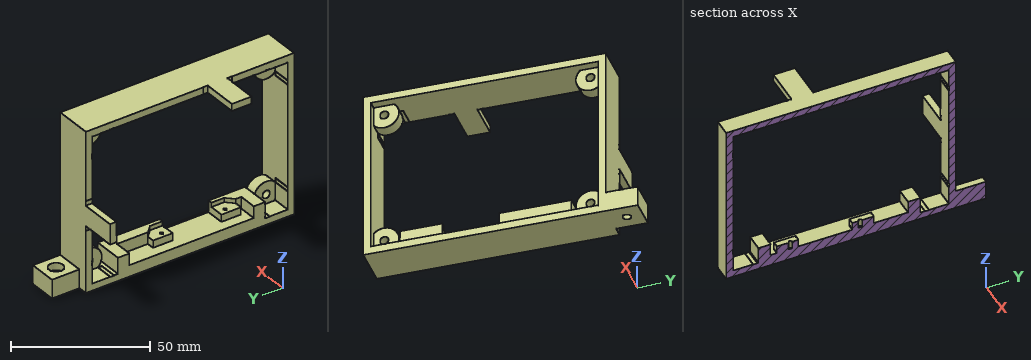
import cadquery as cq
import math

frame_depth = 16.1
frame_width = 91.8
frame_height = 68.8
side_wall = 2.9
base_wall = 3.1
left_face = frame_width / 2
left_wall_face = left_face - side_wall

arm_length = 15.0
arm_width = 8.7
top_arm_y = -12.1
side_arm_z = 32.9
relief_span = 12.7
relief_depth = 0.1

boss_radius = 5.5
boss_front = 7.7
boss_back = 12.7
boss_hole = 3.2
boss_inset_y = 7.0
boss_inset_z = 7.1
groove_depth = 0.1
groove_start_y = boss_inset_y + math.sqrt(boss_radius**2 - (boss_inset_z - base_wall) ** 2)
groove_start_z = boss_inset_z + math.sqrt(boss_radius**2 - (boss_inset_y - side_wall) ** 2)
groove_end_y = boss_inset_y + boss_radius
groove_end_z = boss_inset_z + boss_radius

ledge_depth = boss_back
ledge_start = 11.2
ledge_end = 76.0
ledge_height = 6.9
ledge_top = base_wall + ledge_height
tray_start = 16.3
tray_end = 71.0
tray_depth = 7.8
tray_floor_height = 1.9
tray_floor = base_wall + tray_floor_height
gap_start = 38.5
gap_end = 60.0

pad_width = 8.6
pad_front = 4.6
pad_back = 10.8
pad_height = 3.1
pad_top = tray_floor + pad_height
pad_chamfer = pad_back - tray_depth
pad_hole = 1.2
pad_hole_x = 6.9
pad_hole_inset = 3.2

lug_size = 12.0
lug_height = 8.1
lug_hole = 3.1
lug_counterbore = 6.0
lug_counterbore_depth = 3.1


def box(x0, x1, y0, y1, z0, z1):
    """Block between two opposite corners."""
    return cq.Workplane("XY").box(x1 - x0, y1 - y0, z1 - z0, centered=False).translate((x0, y0, z0))


def tray_block(x0, x1, start, end, z0, z1):
    """Block placed by its distances from the left inner wall."""
    return box(x0, x1, left_wall_face - end, left_wall_face - start, z0, z1)


def rod(radius, x0, x1, y, z):
    """Cylinder along X."""
    return cq.Workplane("YZ").center(y, z).circle(radius).extrude(x1 - x0).translate((x0, 0, 0))


def make_frame():
    inner_top = frame_height - base_wall
    outer = box(0, frame_depth, -left_face, left_face, 0, frame_height)
    return outer.cut(box(0, frame_depth, -left_wall_face, left_wall_face, base_wall, inner_top))


def add_arms(body):
    def top_bar(x0, x1, width):
        y0 = top_arm_y - width / 2
        return box(x0, x1, y0, y0 + width, frame_height - base_wall, frame_height)

    def side_bar(x0, x1, width):
        z0 = side_arm_z - width / 2
        return box(x0, x1, left_wall_face, left_face, z0, z0 + width)

    for bar in (top_bar, side_bar):
        body = body.cut(bar(0, relief_depth, relief_span))
        body = body.union(bar(-arm_length, relief_depth, arm_width))
    return body


def add_bosses(body):
    interior = box(boss_front, boss_back, -left_face, left_face, 0, frame_height)
    for y_side in (-1, 1):
        for z in (boss_inset_z, frame_height - boss_inset_z):
            y = y_side * (left_face - boss_inset_y)
            body = body.union(rod(boss_radius, boss_front, boss_back, y, z).intersect(interior))
            body = body.cut(rod(boss_hole / 2, 0, frame_depth, y, z))
    return body


def cut_corner_grooves(body):
    """Cut both grooves of the lower left corner and their mirrored copies."""
    side_groove = box(
        0, boss_front, left_wall_face, left_wall_face + groove_depth, groove_start_z, groove_end_z
    )
    base_groove = box(
        0, boss_front, left_face - groove_end_y, left_face - groove_start_y,
        base_wall - groove_depth, base_wall
    )
    mid_height = (0, 0, frame_height / 2)
    for groove in (side_groove, base_groove):
        pair = groove.union(groove.mirror("XZ"))
        body = body.cut(pair).cut(pair.mirror("XY", mid_height))
    return body


def add_ledge(body):
    ledge = tray_block(0, ledge_depth, ledge_start, ledge_end, 0, ledge_top)
    ledge = ledge.cut(tray_block(0, tray_depth, tray_start, tray_end, tray_floor, ledge_top))
    ledge = ledge.cut(tray_block(0, ledge_depth, gap_start, gap_end, tray_floor, ledge_top))
    for gap_edge, outward in ((gap_start, -1), (gap_end, 1)):
        ledge = add_pad(ledge, gap_edge, outward)
    return body.union(ledge)


def add_pad(ledge, gap_edge, outward):
    """Pad running outward from one end of the gap, cut into the ledge's back wall."""
    edge_y = left_wall_face - gap_edge
    far_y = edge_y - outward * pad_width
    shoulder_y = far_y + outward * pad_chamfer
    outline = [
        (pad_front, edge_y),
        (pad_back, edge_y),
        (pad_back, shoulder_y),
        (tray_depth, far_y),
        (pad_front, far_y),
    ]
    recess = cq.Workplane("XY", origin=(0, 0, pad_top)).polyline(outline).close()
    recess = recess.extrude(ledge_top - pad_top)
    y0, y1 = sorted((edge_y, far_y))
    ledge = ledge.union(box(pad_front, pad_back, y0, y1, tray_floor, pad_top)).cut(recess)
    hole_y = edge_y - outward * pad_hole_inset
    hole = cq.Workplane("XY", origin=(pad_hole_x, hole_y, tray_floor)).circle(pad_hole / 2)
    return ledge.cut(hole.extrude(pad_top - tray_floor))


def add_lug(body):
    lug = box(frame_depth - lug_size, frame_depth, left_face, left_face + lug_size, 0, lug_height)
    lug = lug.faces(">Z").workplane(centerOption="CenterOfBoundBox")
    lug = lug.cboreHole(lug_hole, lug_counterbore, lug_counterbore_depth)
    return body.union(lug)


result = make_frame()
result = add_arms(result)
result = add_bosses(result)
result = cut_corner_grooves(result)
result = add_ledge(result)
result = add_lug(result)